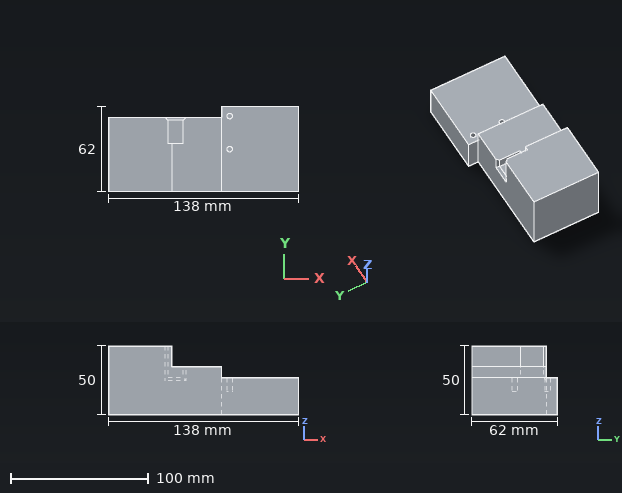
import cadquery as cq

length = 138.0
depth = 62.0
height = 50.0

high_length = 46.0
low_start = 82.1
middle_height = 35.0
low_height = 27.0
narrow_depth = 54.0

pocket_left = 43.0
pocket_width = 11.0
pocket_front = 35.0
pocket_floor = low_height
mouth_chamfer = 2.1

hole_diameter = 4.0
hole_depth = 10.0
hole_x = low_start + 5.8
rear_hole_y = 54.9
hole_count = 2
hole_spacing = 24.0


def block(x_start, x_end, y_start, y_end, z_start, z_end):
    """Box between the given limits along each axis."""
    size = (x_end - x_start, y_end - y_start, z_end - z_start)
    return cq.Workplane("XY", origin=(x_start, y_start, z_start)).box(*size, centered=False)


def stepped_body():
    """Three steps standing on the base plane, flush at the front."""
    high = block(0, high_length, 0, narrow_depth, 0, height)
    middle = block(high_length, low_start, 0, narrow_depth, 0, middle_height)
    low = block(low_start, length, 0, depth, 0, low_height)
    return high.union(middle).union(low)


def pocket_cutter():
    """Straight pocket plus a mouth flaring outward at the floor and both sides."""
    pocket_right = pocket_left + pocket_width
    straight = block(pocket_left, pocket_right, pocket_front, narrow_depth, pocket_floor, height)

    center_x = pocket_left + pocket_width / 2
    inner_height = 2 * (height - pocket_floor)
    flare = (
        cq.Workplane("XZ", origin=(center_x, narrow_depth - mouth_chamfer, height))
        .rect(pocket_width, inner_height)
        .workplane(offset=-mouth_chamfer)
        .rect(pocket_width + 2 * mouth_chamfer, inner_height + 2 * mouth_chamfer)
        .loft(ruled=True)
    )
    return straight.union(flare)


def hole_cutters():
    """Blind holes drilled down from the top of the low step."""
    centers = [(hole_x, rear_hole_y - i * hole_spacing) for i in range(hole_count)]
    return (
        cq.Workplane("XY", origin=(0, 0, low_height))
        .pushPoints(centers)
        .circle(hole_diameter / 2)
        .extrude(-hole_depth)
    )


result = stepped_body().cut(pocket_cutter()).cut(hole_cutters())